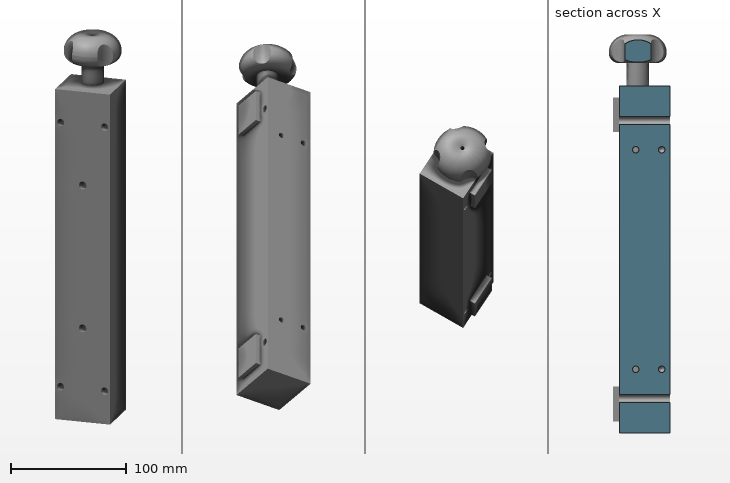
import cadquery as cq
import math

TOTAL_HEIGHT = 344.5
TOTAL_DEPTH = 53.0
KNOB_DIAMETER = 50.0
KNOB_RADIUS = KNOB_DIAMETER / 2

BODY_WIDTH = 50.0
BODY_DEPTH = 44.0
BODY_HEIGHT = 300.0
FRONT_TO_AXIS = TOTAL_DEPTH - KNOB_RADIUS
FRONT_Y = -FRONT_TO_AXIS
BACK_Y = FRONT_Y + BODY_DEPTH
LEFT_X = -BODY_WIDTH / 2

PAD_WIDTH = 28.0
PAD_THICKNESS = 5.0
PAD_HEIGHT = 30.0
PAD_END_GAP = 10.0

MOUNT_DIAMETER = 6.5
MOUNT_SIDE_OFFSET = 20.0
MOUNT_END_OFFSET = 30.0

CENTER_HOLE_DIAMETER = 7.0
CENTER_HOLE_END_OFFSET = 85.0

SIDE_HOLE_DIAMETER = 5.0
SIDE_HOLE_END_OFFSET = 55.0
BLIND_HOLE_FRONT_OFFSET = 7.5
BLIND_HOLE_DEPTH = 10.5
DRILL_TIP_ANGLE = 118.0
SHAFT_HOLE_FRONT_OFFSET = 30.0

SHAFT_DIAMETER = 19.3
KNOB_HEIGHT = 24.8
KNOB_CROWN_HEIGHT = 13.8
KNOB_CREST_RADIUS = 9.0
KNOB_BELT_HEIGHT = 2.5
KNOB_HOLE_DIAMETER = 3.5
KNOB_HOLE_DEPTH = 13.8
GRIP_COUNT = 4
GRIP_DIAMETER = 19.0
GRIP_RADIUS = GRIP_DIAMETER / 2
GRIP_DEEPEST_RADIUS = 20.0


def mirrored_heights(end_offset):
    """Two heights at the same distance from the bottom and top of the body."""
    return (end_offset, BODY_HEIGHT - end_offset)


def make_body():
    body = cq.Workplane("XY").box(BODY_WIDTH, BODY_DEPTH, BODY_HEIGHT, centered=(True, False, False))
    return body.translate((0, FRONT_Y, 0))


def make_pad(center_z):
    pad = cq.Workplane("XY").box(PAD_WIDTH, PAD_THICKNESS, PAD_HEIGHT, centered=(True, False, True))
    return pad.translate((0, BACK_Y, center_z))


def hole_from_front(x, z, diameter, depth):
    start = cq.Vector(x, FRONT_Y, z)
    return cq.Workplane(cq.Solid.makeCylinder(diameter / 2, depth, start, cq.Vector(0, 1, 0)))


def hole_from_left(y, z, diameter, depth):
    start = cq.Vector(LEFT_X, y, z)
    return cq.Workplane(cq.Solid.makeCylinder(diameter / 2, depth, start, cq.Vector(1, 0, 0)))


def drill_tip_from_left(y, z, diameter, depth):
    """Cone at the end of a blind hole in the left face."""
    tip_length = diameter / 2 / math.tan(math.radians(DRILL_TIP_ANGLE / 2))
    start = cq.Vector(LEFT_X + depth, y, z)
    return cq.Workplane(cq.Solid.makeCone(diameter / 2, 0, tip_length, start, cq.Vector(1, 0, 0)))


def make_knob():
    """Turned knob: a domed crown dipping at the axis, a straight belt and a rounded underside."""
    bottom_z = TOTAL_HEIGHT - KNOB_HEIGHT
    belt_top_z = TOTAL_HEIGHT - KNOB_CROWN_HEIGHT
    belt_bottom_z = belt_top_z - KNOB_BELT_HEIGHT
    under_radius = belt_bottom_z - bottom_z
    under_center_r = KNOB_RADIUS - under_radius
    crest_to_belt = KNOB_RADIUS - KNOB_CREST_RADIUS
    crown_radius = (crest_to_belt**2 + KNOB_CROWN_HEIGHT**2) / (2 * KNOB_CROWN_HEIGHT)
    dip_z = TOTAL_HEIGHT - crown_radius + math.sqrt(crown_radius**2 - KNOB_CREST_RADIUS**2)
    diagonal = math.cos(math.radians(45))

    profile = (
        cq.Workplane("XZ")
        .moveTo(0, bottom_z)
        .lineTo(under_center_r, bottom_z)
        .threePointArc(
            (under_center_r + under_radius * diagonal, belt_bottom_z - under_radius * diagonal),
            (KNOB_RADIUS, belt_bottom_z),
        )
        .lineTo(KNOB_RADIUS, belt_top_z)
        .threePointArc((KNOB_CREST_RADIUS, TOTAL_HEIGHT), (0, dip_z))
        .close()
    )
    knob = profile.revolve(360, (0, 0), (0, 1))

    grips = (
        cq.Workplane("XY")
        .workplane(offset=bottom_z)
        .polarArray(GRIP_DEEPEST_RADIUS + GRIP_RADIUS, 180 / GRIP_COUNT, 360, GRIP_COUNT)
        .circle(GRIP_RADIUS)
        .extrude(KNOB_HEIGHT)
    )
    axis_hole = (
        cq.Workplane("XY")
        .workplane(offset=TOTAL_HEIGHT - KNOB_HOLE_DEPTH)
        .circle(KNOB_HOLE_DIAMETER / 2)
        .extrude(KNOB_HOLE_DEPTH)
    )
    return knob.cut(grips).cut(axis_hole)


def make_shaft():
    """Shaft on the knob axis, running down through the body."""
    return cq.Workplane("XY").circle(SHAFT_DIAMETER / 2).extrude(TOTAL_HEIGHT - KNOB_HEIGHT)


result = make_body()

for pad_z in mirrored_heights(PAD_END_GAP + PAD_HEIGHT / 2):
    result = result.union(make_pad(pad_z))

for hole_z in mirrored_heights(MOUNT_END_OFFSET):
    for hole_x in (-MOUNT_SIDE_OFFSET, MOUNT_SIDE_OFFSET):
        result = result.cut(hole_from_front(hole_x, hole_z, MOUNT_DIAMETER, BODY_DEPTH))

for hole_z in mirrored_heights(CENTER_HOLE_END_OFFSET):
    result = result.cut(hole_from_front(0, hole_z, CENTER_HOLE_DIAMETER, FRONT_TO_AXIS))

blind_hole_y = FRONT_Y + BLIND_HOLE_FRONT_OFFSET
shaft_hole_y = FRONT_Y + SHAFT_HOLE_FRONT_OFFSET
for hole_z in mirrored_heights(SIDE_HOLE_END_OFFSET):
    result = result.cut(hole_from_left(shaft_hole_y, hole_z, SIDE_HOLE_DIAMETER, BODY_WIDTH / 2))
    result = result.cut(hole_from_left(blind_hole_y, hole_z, SIDE_HOLE_DIAMETER, BLIND_HOLE_DEPTH))
    result = result.cut(drill_tip_from_left(blind_hole_y, hole_z, SIDE_HOLE_DIAMETER, BLIND_HOLE_DEPTH))

result = result.union(make_shaft()).union(make_knob())